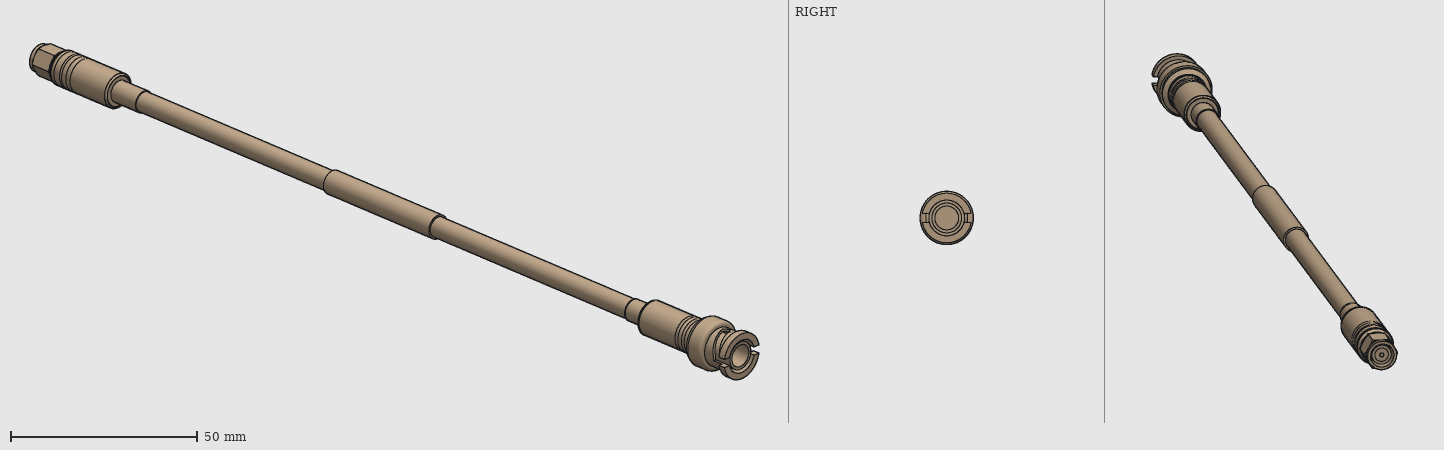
import cadquery as cq
import math

total_length = 266.5

cable_radius = 3.0
cable_insertion = 16.0
tail_radius = 3.2
label_radius = 3.5
label_start = 111.0
label_length = 40.0

sleeve_radius = 5.0
sleeve_wall = 0.2
sleeve_chamfer = 0.5
sma_sleeve_start = 9.0
sma_shoulder = 30.0
sma_tail_end = 39.5
bnc_sleeve_end = 251.2
bnc_shoulder = 231.5
bnc_tail_start = 225.0

body_radius = sleeve_radius - sleeve_wall
groove_depth = 0.5
sma_grooves = ((12.3, 13.0), (14.7, 16.2))
bnc_grooves = ((245.9, 247.0), (248.3, 249.3))

nut_across_flats = 8.0
nut_length = 7.7
nut_front_radius = 4.0
nut_front_length = 1.3
nut_corner_chamfer = 0.4
nut_bore_radius = 3.2
nut_bore_depth = 5.3
spigot_radius = 2.7
flange_radius = 4.3
flange_length = 0.3
neck_radius = 4.0
neck_end = 8.5
sma_barrel_start = 10.0
dielectric_radius = 1.9
dielectric_end = 10.7
spigot_start = 0.8
pin_radius = 0.5
pin_start = 0.5

contact_radius = 4.0
contact_bore_radius = 3.2
contact_bore_depth = 9.3
contact_setback = 0.5
barrel_radius = 5.5
barrel_bore_radius = 4.8
barrel_bore_start = 254.5
rear_bevel_radius = 5.3
rear_rim_radius = 6.7
rear_rim_start = 252.0
grip_radius = 7.2
grip_start = 253.0
grip_end = 257.8
grip_fillet = 1.0
front_rim_radius = 6.7
front_rim_length = 2.0

slot_count = 2
slot_width = 2.5
slot_turn = 90.0
slot_lock_x = 260.2
slot_bend_x = 262.5
slot_depth = 2.7


def revolved(points):
    """Solid of revolution about the X axis from (x, radius) points."""
    return cq.Workplane("XY").polyline(points).close().revolve(360, (0, 0, 0), (1, 0, 0))


def rod(start, end, radius):
    """Round rod along X."""
    return cq.Workplane("YZ", origin=(start, 0, 0)).circle(radius).extrude(end - start)


def tube(start, end, outer_radius, inner_radius):
    """Round tube along X."""
    return rod(start, end, outer_radius).cut(rod(start, end, inner_radius))


def cut_grooves(body, grooves):
    """Cut ring grooves into the outside of a plug body."""
    for start, end in grooves:
        body = body.cut(tube(start, end, body_radius, body_radius - groove_depth))
    return body


def make_sleeve(open_end, shoulder, tail_end):
    """Stepped heat-shrink sleeve: wide over the plug body, narrow over the cable."""
    side = math.copysign(1, tail_end - open_end)
    bevel = side * sleeve_chamfer
    inner_shoulder = shoulder - side * sleeve_wall
    return revolved([
        (open_end, body_radius),
        (open_end, sleeve_radius),
        (shoulder - bevel, sleeve_radius),
        (shoulder, sleeve_radius - sleeve_chamfer),
        (shoulder, tail_radius),
        (tail_end, tail_radius),
        (tail_end, cable_radius),
        (inner_shoulder, cable_radius),
        (inner_shoulder, sleeve_radius - sleeve_chamfer - sleeve_wall),
        (inner_shoulder - bevel, body_radius),
    ])


def make_cable():
    return rod(sma_shoulder - cable_insertion, bnc_shoulder + cable_insertion, cable_radius)


def make_label():
    return tube(label_start, label_start + label_length, label_radius, cable_radius)


def make_nut():
    """Hexagonal coupling nut with a round front collar and flats facing up and down."""
    corner_radius = nut_across_flats / math.sqrt(3)
    hexagon = (
        cq.Workplane("YZ", origin=(nut_front_length, 0, 0))
        .polygon(6, 2 * corner_radius)
        .extrude(nut_length - nut_front_length)
    )
    bevelled_bar = rod(nut_front_length, nut_length, corner_radius).faces("<X").chamfer(nut_corner_chamfer)
    nut = hexagon.intersect(bevelled_bar).union(rod(0, nut_front_length, nut_front_radius))
    return nut.cut(rod(0, nut_bore_depth, nut_bore_radius)).cut(rod(0, nut_length, spigot_radius))


def make_sma_body():
    """Spigot inside the nut, flange behind it and a grooved barrel under the sleeve."""
    body_end = sma_shoulder - sleeve_wall
    body = revolved([
        (spigot_start, 0),
        (spigot_start, spigot_radius),
        (nut_length, spigot_radius),
        (nut_length, flange_radius),
        (nut_length + flange_length, flange_radius),
        (nut_length + flange_length, neck_radius),
        (neck_end, neck_radius),
        (sma_barrel_start, body_radius),
        (body_end - sleeve_chamfer, body_radius),
        (body_end, body_radius - sleeve_chamfer),
        (body_end, 0),
    ])
    body = cut_grooves(body, sma_grooves)
    body = body.cut(rod(spigot_start, dielectric_end, dielectric_radius))
    return body.cut(rod(sma_shoulder - cable_insertion, body_end, cable_radius))


def make_dielectric():
    return tube(spigot_start, dielectric_end, dielectric_radius, pin_radius)


def make_pin():
    return rod(pin_start, dielectric_end, pin_radius)


def make_bnc_body():
    """Grooved barrel under the sleeve and the hollow contact tube inside the coupling."""
    body_start = bnc_shoulder + sleeve_wall
    contact_end = total_length - contact_setback
    body = revolved([
        (body_start, 0),
        (body_start, body_radius - sleeve_chamfer),
        (body_start + sleeve_chamfer, body_radius),
        (bnc_sleeve_end, body_radius),
        (bnc_sleeve_end, contact_radius),
        (contact_end, contact_radius),
        (contact_end, 0),
    ])
    body = cut_grooves(body, bnc_grooves)
    body = body.cut(rod(contact_end - contact_bore_depth, contact_end, contact_bore_radius))
    return body.cut(rod(body_start, bnc_shoulder + cable_insertion, cable_radius))


def make_slot_cutters():
    """Cutters of one bayonet slot: a mouth at -Y, a spiral and a round locking end at +Z."""
    spiral_length = slot_bend_x - slot_lock_x
    middle_radius = (barrel_radius + barrel_bore_radius) / 2
    helix = cq.Wire.makeHelix(spiral_length * 360 / slot_turn, spiral_length, middle_radius)
    spiral = (
        cq.Workplane("XZ")
        .center(middle_radius, 0)
        .rect(slot_depth, slot_width)
        .sweep(cq.Workplane(obj=helix), isFrenet=True)
        .rotate((0, 0, 0), (0, 1, 0), 90)
        .rotate((0, 0, 0), (1, 0, 0), 180)
        .translate((slot_lock_x, 0, 0))
    )
    lock_end = (
        cq.Workplane("XY", origin=(slot_lock_x, 0, middle_radius))
        .circle(slot_width / 2)
        .extrude(slot_depth / 2, both=True)
    )
    mouth_start = slot_bend_x - slot_width / 2
    mouth_length = total_length - mouth_start
    mouth = (
        cq.Workplane("XY")
        .box(mouth_length, grip_radius, slot_width, centered=(False, False, True))
        .translate((mouth_start, slot_depth / 2 - middle_radius - grip_radius, 0))
    )
    return [spiral, lock_end, mouth]


def make_coupling():
    """Turning sleeve with a grip ring, a front rim and two bayonet slots."""
    rim_start = total_length - front_rim_length
    coupling = revolved([
        (bnc_sleeve_end, contact_radius),
        (bnc_sleeve_end, rear_bevel_radius),
        (rear_rim_start, rear_rim_radius),
        (grip_start, rear_rim_radius),
        (grip_start, grip_radius),
        (grip_end, grip_radius),
        (grip_end, barrel_radius),
        (rim_start, barrel_radius),
        (rim_start, front_rim_radius),
        (total_length, front_rim_radius),
        (total_length, barrel_bore_radius),
        (barrel_bore_start, barrel_bore_radius),
        (barrel_bore_start, contact_radius),
    ])
    coupling = coupling.edges(cq.selectors.RadiusNthSelector(-1)).edges(">X").fillet(grip_fillet)
    for i in range(slot_count):
        for cutter in make_slot_cutters():
            coupling = coupling.cut(cutter.rotate((0, 0, 0), (1, 0, 0), i * 360 / slot_count))
    return coupling


cable = make_cable()
label = make_label()
nut = make_nut()
sma_body = make_sma_body()
dielectric = make_dielectric()
pin = make_pin()
sma_sleeve = make_sleeve(sma_sleeve_start, sma_shoulder, sma_tail_end)
bnc_sleeve = make_sleeve(bnc_sleeve_end, bnc_shoulder, bnc_tail_start)
bnc_body = make_bnc_body()
coupling = make_coupling()

bodies = [cable, label, nut, sma_body, dielectric, pin, sma_sleeve, bnc_sleeve, bnc_body, coupling]
result = cq.Compound.makeCompound([body.val() for body in bodies])